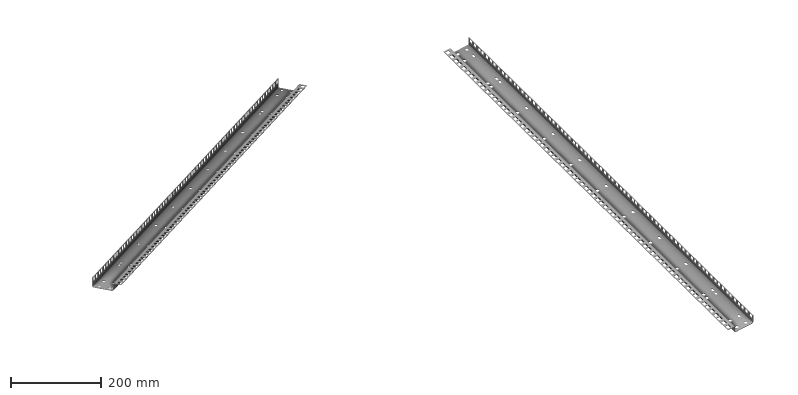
import cadquery as cq
import math

length = 1070
width = 70.0
height = 25.0
sheet = 1.6
inner_radius = 2.0
outer_radius = inner_radius + sheet
channel_width = 51.0
flange_drop = 4.8

rack_units = 24
end_allowance = 3.0
unit_pitch = (length - end_allowance) / rack_units
hole_fractions = (1 / 7, 1 / 2, 6 / 7)
square = 9.5
square_margin = 1.9
edge_to_square = square_margin + square / 2

rows_each_side = 5
last_regular_row = 500.0
row_pitch = last_regular_row / rows_each_side
paired_row = 4
pair_spacing = 13.0
end_row_inset = 10.2
hole_spacing = 25.0
slot_width = 5.9
slot_length = 9.0
slot_angle = 90
round_diameter = 8.0

left_x = -width / 2
right_x = width / 2
web_x = left_x + channel_width
channel_x = left_x + channel_width / 2
flange_z = height - flange_drop
flange_underside = flange_z - sheet


def bend(section, centre, radius, side, level, end):
    """Add a quarter arc whose middle lies to the given side (-1 or 1) and level (-1 or 1) of its centre."""
    reach = radius * math.sqrt(0.5)
    middle = (centre[0] + side * reach, centre[1] + level * reach)
    return section.threePointArc(middle, end)


def make_rail():
    """Tall wall, floor, short wall and outward flange, joined by rounded bends."""
    left_centre = (left_x + outer_radius, outer_radius)
    right_centre = (web_x - outer_radius, outer_radius)
    top_centre = (web_x + inner_radius, flange_z - outer_radius)

    section = cq.Workplane("XZ", origin=(0, length / 2, 0)).moveTo(left_x, height)
    section = section.lineTo(left_x, left_centre[1])
    section = bend(section, left_centre, outer_radius, -1, -1, (left_centre[0], 0))
    section = section.lineTo(right_centre[0], 0)
    section = bend(section, right_centre, outer_radius, 1, -1, (web_x, right_centre[1]))
    section = section.lineTo(web_x, top_centre[1])
    section = bend(section, top_centre, inner_radius, -1, 1, (top_centre[0], flange_underside))
    section = section.lineTo(right_x, flange_underside)

    section = section.lineTo(right_x, flange_z)
    section = section.lineTo(top_centre[0], flange_z)
    section = bend(section, top_centre, outer_radius, -1, 1, (web_x - sheet, top_centre[1]))
    section = section.lineTo(web_x - sheet, right_centre[1])
    section = bend(section, right_centre, inner_radius, 1, -1, (right_centre[0], sheet))
    section = section.lineTo(left_centre[0], sheet)
    section = bend(section, left_centre, inner_radius, -1, -1, (left_x + sheet, left_centre[1]))
    section = section.lineTo(left_x + sheet, height)
    return section.close().extrude(length)


def rack_hole_positions():
    """Y of every square hole, with the rack units centred on the length."""
    start = -rack_units * unit_pitch / 2
    return [
        start + (unit + fraction) * unit_pitch
        for unit in range(rack_units)
        for fraction in hole_fractions
    ]


def floor_row_positions():
    """Y of every floor row: the even rows, then the paired and end rows on both sides."""
    rows = [i * row_pitch for i in range(-rows_each_side, rows_each_side + 1)]
    for side in (-1, 1):
        rows.append(side * (paired_row * row_pitch + pair_spacing))
        rows.append(side * (length / 2 - end_row_inset))
    return rows


def flange_hole_cutter():
    points = [(right_x - edge_to_square, y) for y in rack_hole_positions()]
    plane = cq.Workplane("XY", origin=(0, 0, flange_underside))
    return plane.pushPoints(points).rect(square, square).extrude(sheet)


def wall_hole_cutter():
    points = [(y, height - edge_to_square) for y in rack_hole_positions()]
    plane = cq.Workplane("YZ", origin=(left_x, 0, 0))
    return plane.pushPoints(points).rect(square, square).extrude(sheet)


def slot_cutter():
    points = [(channel_x - hole_spacing / 2, y) for y in floor_row_positions()]
    return cq.Workplane("XY").pushPoints(points).slot2D(slot_length, slot_width, slot_angle).extrude(sheet)


def round_hole_cutter():
    points = [(channel_x + hole_spacing / 2, y) for y in floor_row_positions()]
    return cq.Workplane("XY").pushPoints(points).circle(round_diameter / 2).extrude(sheet)


result = make_rail()
for cutter in (flange_hole_cutter(), wall_hole_cutter(), slot_cutter(), round_hole_cutter()):
    result = result.cut(cutter)